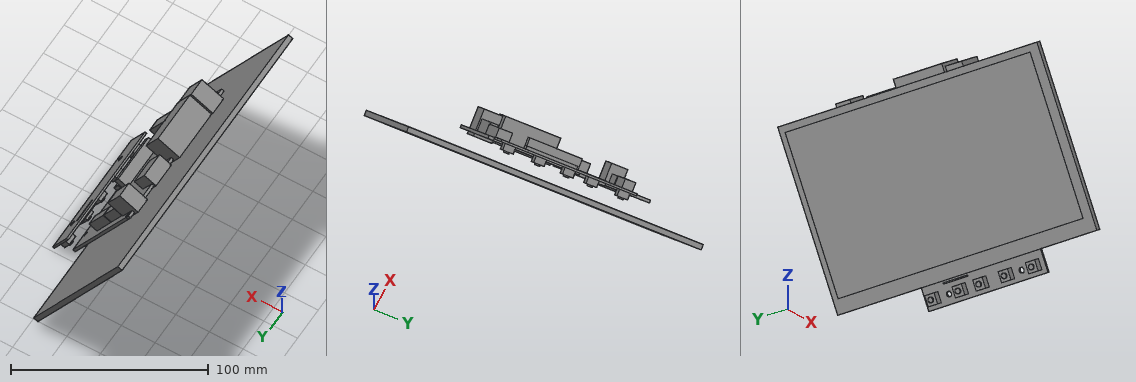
import cadquery as cq
TILT_DEGREES = 60.0

display_length = 100.0
display_width = 165.0
display_thickness = 3.0
window_start = 3.8
window_end = 92.0
window_y_low = -76.7
window_y_high = 79.2
window_depth = 0.1

driver_start = 0.7
driver_end = 66.3
driver_y_low = -34.0
driver_y_high = 56.5
driver_bottom = 12.4
driver_top = driver_bottom + 1.6
driver_hole_diameter = 2.5
driver_hole_centers = [(3.8, 54.8), (3.8, -31.2), (64.2, 45.9), (64.0, -31.7)]

power_socket = ((-2.1, 11.9), (43.4, 52.5), (11.5, 24.3))
usb_socket = ((-0.7, 11.2), (18.6, 33.5), (11.9, 20.0))
video_socket = ((-5.0, 9.2), (-16.2, 14.7), (11.5, 26.4))
audio_socket = ((-3.0, 11.7), (-28.5, -18.2), (10.9, 25.7))
upper_left_plug = ((14.7, 27.2), (45.0, 51.0), (driver_top, 19.3))
lower_left_plug = ((27.2, 43.9), (45.4, 51.3), (driver_top, 19.5))
upper_right_plug = ((15.2, 36.8), (-28.5, -24.6), (driver_top, 20.6))
lower_right_plug = ((38.6, 62.2), (-29.5, -22.1), (driver_top, 19.5))
cable_header = ((46.9, 51.2), (-10.2, 19.1), (driver_top, 20.6))
ribbon_socket = ((59.5, 64.5), (-13.2, 15.2), (driver_top, 16.2))
driver_components = [
    power_socket,
    usb_socket,
    video_socket,
    audio_socket,
    upper_left_plug,
    lower_left_plug,
    upper_right_plug,
    lower_right_plug,
    cable_header,
    ribbon_socket,
]

keypad_start = 95.9
keypad_end = 112.4
keypad_width = 75.9
keypad_bottom = 13.2
keypad_top = keypad_bottom + 1.2
button_row_x = 107.1
keypad_hole_diameter = 3.0
keypad_hole_offset = 23.1
button_centers_y = [-32.0, -14.7, 1.5, 14.7, 32.0]
button_size = 6.0
button_bottom = 9.5
cap_diameter = 3.0
cap_bottom = 8.7
pin_strip = ((100.8, 101.5), (8.7, 23.5), (11.7, keypad_top + 0.2))


def block(x_range, y_range, z_range):
    """Box spanning the given (low, high) ranges."""
    x_low, x_high = x_range
    y_low, y_high = y_range
    z_low, z_high = z_range
    box = cq.Workplane("XY").box(x_high - x_low, y_high - y_low, z_high - z_low, centered=False)
    return box.translate((x_low, y_low, z_low))


def round_pin(x, y, diameter, z_low, z_high):
    """Upright cylinder between two heights."""
    return cq.Workplane("XY", origin=(x, y, z_low)).circle(diameter / 2).extrude(z_high - z_low)


def tilted(body):
    """Turn a body from the local frame into its final slope."""
    return body.rotate((0, 0, 0), (0, 1, 0), TILT_DEGREES)


def make_display():
    half_width = display_width / 2
    panel = block((0, display_length), (-half_width, half_width), (0, display_thickness))
    window = block((window_start, window_end), (window_y_low, window_y_high), (0, window_depth))
    return tilted(panel.cut(window))


def make_driver_board():
    board = block((driver_start, driver_end), (driver_y_low, driver_y_high), (driver_bottom, driver_top))
    for x, y in driver_hole_centers:
        board = board.cut(round_pin(x, y, driver_hole_diameter, driver_bottom, driver_top))
    for component in driver_components:
        board = board.union(block(*component))
    return tilted(board)


def make_button(y):
    half = button_size / 2
    x_range = (button_row_x - half, button_row_x + half)
    base = block(x_range, (y - half, y + half), (button_bottom, keypad_bottom))
    return base.union(round_pin(button_row_x, y, cap_diameter, cap_bottom, button_bottom))


def make_keypad():
    half_width = keypad_width / 2
    board = block((keypad_start, keypad_end), (-half_width, half_width), (keypad_bottom, keypad_top))
    for y in (-keypad_hole_offset, keypad_hole_offset):
        board = board.cut(round_pin(button_row_x, y, keypad_hole_diameter, keypad_bottom, keypad_top))
    for y in button_centers_y:
        board = board.union(make_button(y))
    return tilted(board.union(block(*pin_strip)))


display = make_display()
driver_board = make_driver_board()
keypad = make_keypad()

result = cq.Compound.makeCompound([display.val(), driver_board.val(), keypad.val()])